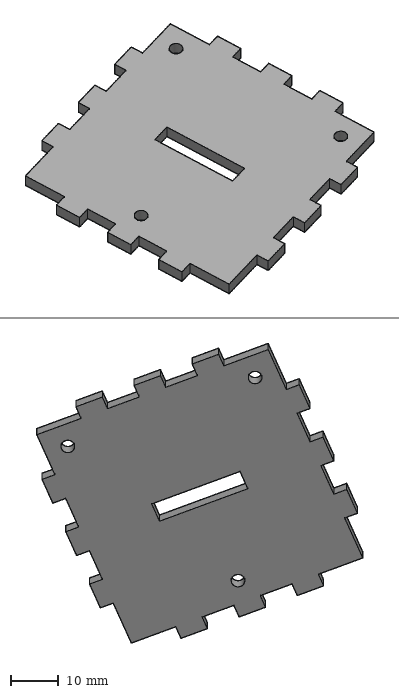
import cadquery as cq

overall_size = 58.0
thickness = 3.0

tab_depth = 2.9
tab_width = 6.0
tab_pitch = 13.1
body_size = overall_size - 2 * tab_depth

slot_length = 19.9
slot_width = 4.3

hole_diameter = 2.85
hole_offset = 21.1
hole_centers = [
    (-hole_offset, hole_offset),
    (hole_offset, hole_offset),
    (0, -hole_offset),
]


def make_tabbed_plate():
    """Square plate with bars across it whose ends form the edge tabs."""
    plate = cq.Workplane("XY").box(body_size, body_size, thickness)
    for offset in (-tab_pitch, 0, tab_pitch):
        bar_along_x = cq.Workplane("XY").center(0, offset).box(overall_size, tab_width, thickness)
        bar_along_y = cq.Workplane("XY").center(offset, 0).box(tab_width, overall_size, thickness)
        plate = plate.union(bar_along_x).union(bar_along_y)
    return plate.clean()


def cut_slot(plate):
    return plate.faces(">Z").workplane(origin=(0, 0, 0)).rect(slot_length, slot_width).cutThruAll()


def drill_holes(plate):
    top = plate.faces(">Z").workplane(origin=(0, 0, 0))
    return top.pushPoints(hole_centers).hole(hole_diameter)


result = drill_holes(cut_slot(make_tabbed_plate()))